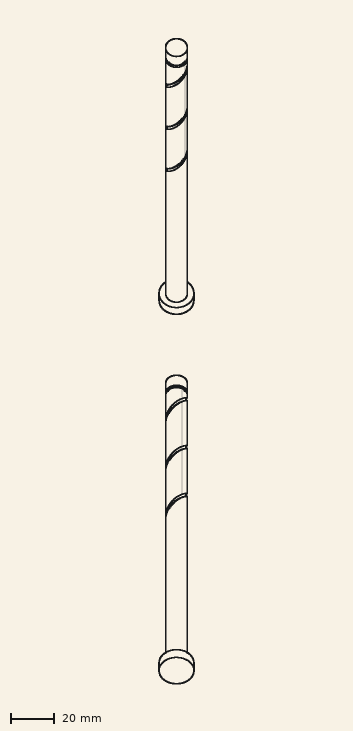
import cadquery as cq

total_length = 200.0
head_diameter = 16.0
head_height = 5.5
shaft_diameter = 10.0

ring_groove_diameter = 8.0
ring_groove_width = 1.5
tip_length = 7.0

spiral_height = 100.0
spiral_turns = 3
spiral_width = 1.5
spiral_end_overlap = 0.2
spiral_start_angle = 90.0

shaft_radius = shaft_diameter / 2
ring_groove_bottom = total_length - tip_length - ring_groove_width
spiral_top = ring_groove_bottom + spiral_end_overlap
spiral_bottom = spiral_top - spiral_height


def make_headed_pin():
    head = cq.Workplane("XY").circle(head_diameter / 2).extrude(head_height)
    return head.union(cq.Workplane("XY").circle(shaft_radius).extrude(total_length))


def make_ring_groove_cutter():
    return (
        cq.Workplane("XY", origin=(0, 0, ring_groove_bottom))
        .circle(shaft_diameter)
        .circle(ring_groove_diameter / 2)
        .extrude(ring_groove_width)
    )


def make_spiral_cutter():
    pitch = spiral_height / spiral_turns
    path = cq.Wire.makeHelix(pitch, spiral_height, shaft_radius)
    start = cq.Plane(origin=path.startPoint(), xDir=(1, 0, 0), normal=path.tangentAt(0))
    cutter = cq.Workplane(start).circle(spiral_width / 2).sweep(path, isFrenet=True)
    return cutter.rotate((0, 0, 0), (0, 0, 1), spiral_start_angle).translate((0, 0, spiral_bottom))


result = make_headed_pin().cut(make_ring_groove_cutter()).cut(make_spiral_cutter())